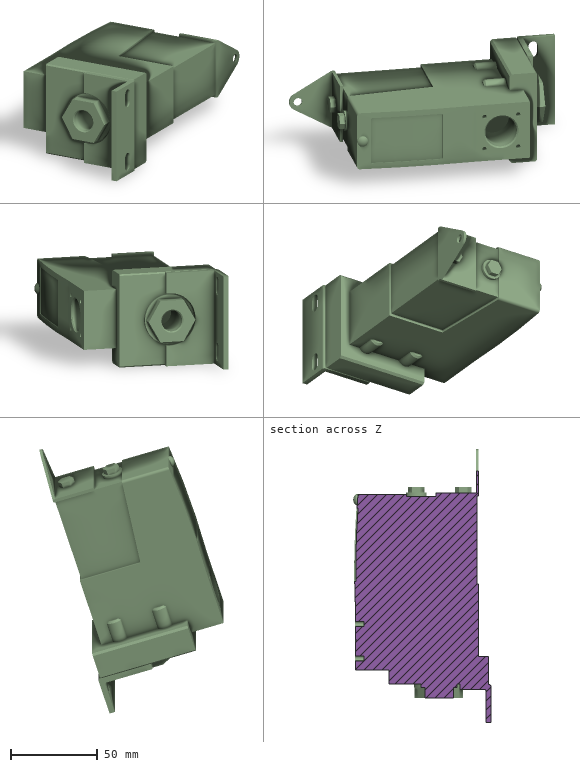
import cadquery as cq
import math


half_height = 17.4
front_left_x = -48.5
flat_end_y = 32.7
crown_y = 56.5
crown_radius = 521.4
crown_bulge = crown_radius - math.sqrt(crown_radius**2 - (crown_y - flat_end_y) ** 2)
crown_x = front_left_x - crown_bulge
right_x = 22.9
panel_right_x = 22.0
panel_half_height = 15.8
panel_front_y = 50.1
panel_front_x = -13.9
panel_rear_x = -18.8
panel_rear_y = 100.8
cover_rear_y = 101.8
cover_fillet = 1.6

window_front_y = 51.5
window_rear_y = 93.7
window_height = 28.0
window_depth = 0.6
window_corner = 0.8

port_y = 16.9
port_radius = 9.3
port_chamfer = 0.8
port_depth = 23.7
port_screw_offset = 10.0
port_screw_radius = 1.3
port_screw_depth = 4.7

screw_y = 98.6
screw_head_radius = 3.2
screw_rim_x = -48.0
screw_tip_x = -49.6
screw_base_x = -45.8

block_left_x = -29.2
block_right_x = 28.6
block_half_depth = 8.0
block_half_height = 27.5
block_rear_chamfer = 1.3
block_front_chamfer = 0.8

stud_xs = (-15.6, 11.7)
stud_z = 15.0
stud_radius = 4.9
stud_length = 13.0
stud_chamfer = 1.1

bracket_left_x = -2.0
bracket_right_x = 30.0
bracket_thickness = 3.2
bracket_front_y = -30.2
bend_outer_radius = 1.3
bend_inner_radius = 0.6
bracket_cutout_radius = 15.5
slot_y = -17.2
slot_z = 19.5
slot_width = 5.5
slot_length = 10.7

washer_radius = 14.5
washer_thickness = 1.9
nut_flats = 24.3
nut_height = 6.2
nut_bore_radius = 6.2
nut_bore_chamfer = 0.6
nut_bore_depth = 23.7

lug_left_x = -2.0
lug_plate_thickness = 1.9
lug_thickness = 1.6
lug_tip_y = 127.8
lug_tip_radius = 5.0
lug_side_angle = math.radians(30)
lug_hole_radius = 2.5
bolt_xs = (-13.1, 14.0)
bolt_flats = 8.2
bolt_head_height = 3.2
rear_washer_radius = 6.0

block_front_y = -block_half_depth
washer_front_y = block_front_y - washer_thickness
nut_front_y = washer_front_y - nut_height
lug_rear_y = panel_rear_y + lug_plate_thickness


def box(x0, x1, y0, y1, half_z):
    """Box between two X and two Y limits, centred on Z = 0."""
    return cq.Workplane("XY").box(x1 - x0, y1 - y0, 2 * half_z).translate(
        ((x0 + x1) / 2, (y0 + y1) / 2, 0)
    )


def plane_facing_rear(x, y, z=0.0):
    """Workplane normal to +Y, local x along -X and local y along +Z."""
    return cq.Workplane(cq.Plane(origin=(x, y, z), xDir=(-1, 0, 0), normal=(0, 1, 0)))


def plane_facing_right(x, y, z=0.0):
    """Workplane normal to +X, local x along +Y and local y along +Z."""
    return cq.Workplane(cq.Plane(origin=(x, y, z), xDir=(0, 1, 0), normal=(1, 0, 0)))


def hex_prism(x, y, flats, height):
    """Hexagonal prism along +Y with two corners pointing along X."""
    corners = flats / math.cos(math.pi / 6)
    return plane_facing_rear(x, y).polygon(6, corners).extrude(height)


def left_face_x(y, inset=0.0):
    """X of the curved left face, or of its parallel inset surface, at a given Y."""
    radius = crown_radius - inset
    return crown_x + crown_radius - math.sqrt(radius**2 - (y - crown_y) ** 2)


def make_housing():
    """Curved-left-face cover joined to the slightly set-in rear panel."""
    cover = (
        cq.Workplane("XY", origin=(0, 0, -half_height))
        .moveTo(front_left_x, 0)
        .lineTo(front_left_x, flat_end_y)
        .threePointArc((crown_x, crown_y), (left_face_x(cover_rear_y), cover_rear_y))
        .lineTo(panel_rear_x, cover_rear_y)
        .lineTo(panel_front_x, panel_front_y)
        .lineTo(right_x, panel_front_y)
        .lineTo(right_x, 0)
        .close()
        .extrude(2 * half_height)
    )
    cover = cover.faces(">Y").edges("#Z").fillet(cover_fillet)
    panel = (
        cq.Workplane("XY", origin=(0, 0, -panel_half_height))
        .moveTo(panel_front_x, panel_front_y)
        .lineTo(panel_right_x, panel_front_y)
        .lineTo(panel_right_x, panel_rear_y)
        .lineTo(panel_rear_x, panel_rear_y)
        .close()
        .extrude(2 * panel_half_height)
    )
    return cover.union(panel)


def make_window():
    """Cutter for a shallow recess whose floor runs parallel to the curved face."""
    middle_y = (window_front_y + window_rear_y) / 2
    return (
        cq.Workplane("XY", origin=(0, 0, -window_height / 2))
        .moveTo(screw_tip_x, window_front_y)
        .lineTo(left_face_x(window_front_y, window_depth), window_front_y)
        .threePointArc(
            (left_face_x(middle_y, window_depth), middle_y),
            (left_face_x(window_rear_y, window_depth), window_rear_y),
        )
        .lineTo(screw_tip_x, window_rear_y)
        .close()
        .extrude(window_height)
        .edges("|X")
        .fillet(window_corner)
    )


def make_port():
    """Cutter for a blind chamfered bore with four small screw holes around it."""
    bore = plane_facing_right(front_left_x, port_y).circle(port_radius).extrude(port_depth)
    mouth = (
        plane_facing_right(front_left_x, port_y)
        .circle(port_radius + port_chamfer)
        .workplane(offset=port_chamfer)
        .circle(port_radius)
        .loft()
    )
    screws = (
        plane_facing_right(front_left_x, port_y)
        .rect(2 * port_screw_offset, 2 * port_screw_offset, forConstruction=True)
        .vertices()
        .circle(port_screw_radius)
        .extrude(port_screw_depth)
    )
    return bore.union(mouth).union(screws)


def make_round_screw():
    """Round head about X: a straight rim with a domed top."""
    dome_height = screw_rim_x - screw_tip_x
    dome_radius = (screw_head_radius**2 + dome_height**2) / (2 * dome_height)
    dome = cq.Workplane("XY").sphere(dome_radius).translate((screw_tip_x + dome_radius, screw_y, 0))
    envelope = (
        plane_facing_right(screw_tip_x, screw_y)
        .circle(screw_head_radius)
        .extrude(screw_base_x - screw_tip_x)
    )
    return envelope.intersect(dome)


def make_block():
    block = box(block_left_x, block_right_x, -block_half_depth, block_half_depth, block_half_height)
    block = block.faces(">Y").edges("|X").chamfer(block_rear_chamfer)
    return block.faces("<Y").edges("|X").chamfer(block_front_chamfer)


def make_stud(x, z):
    stud = plane_facing_rear(x, block_half_depth, z).circle(stud_radius).extrude(stud_length)
    return stud.faces(">Y").chamfer(stud_chamfer)


def make_bracket():
    plate_front_y = block_front_y - bracket_thickness
    flange_left_x = bracket_right_x - bracket_thickness
    bracket = (
        cq.Workplane("XY", origin=(0, 0, -block_half_height))
        .moveTo(bracket_left_x, block_front_y)
        .lineTo(bracket_right_x, block_front_y)
        .lineTo(bracket_right_x, bracket_front_y)
        .lineTo(flange_left_x, bracket_front_y)
        .lineTo(flange_left_x, plate_front_y)
        .lineTo(bracket_left_x, plate_front_y)
        .close()
        .extrude(2 * block_half_height)
    )
    bracket = bracket.edges("|Z and >X and >Y").fillet(bend_outer_radius)
    inner_bend = cq.selectors.NearestToPointSelector((flange_left_x, plate_front_y, 0))
    bracket = bracket.edges("|Z").edges(inner_bend).fillet(bend_inner_radius)
    cutout = plane_facing_rear(0, plate_front_y).circle(bracket_cutout_radius).extrude(bracket_thickness)
    slots = (
        plane_facing_right(flange_left_x, slot_y)
        .pushPoints([(0, slot_z), (0, -slot_z)])
        .slot2D(slot_length, slot_width, 90)
        .extrude(bracket_thickness)
    )
    return bracket.cut(cutout).cut(slots)


def make_nut():
    washer = plane_facing_rear(0, washer_front_y).circle(washer_radius).extrude(washer_thickness)
    return washer.union(hex_prism(0, nut_front_y, nut_flats, nut_height))


def make_nut_bore():
    """Cutter for the blind bore through the nut, chamfered at its mouth."""
    bore = plane_facing_rear(0, nut_front_y).circle(nut_bore_radius).extrude(nut_bore_depth)
    mouth = (
        plane_facing_rear(0, nut_front_y)
        .circle(nut_bore_radius + nut_bore_chamfer)
        .workplane(offset=nut_bore_chamfer)
        .circle(nut_bore_radius)
        .loft()
    )
    return bore.union(mouth)


def make_lug():
    """Rear plate with a tapering ear whose sides run tangent into the round tip."""
    plate = box(lug_left_x, right_x, panel_rear_y, lug_rear_y, half_height)
    tip_centre_y = lug_tip_y - lug_tip_radius
    tangent_y = tip_centre_y + lug_tip_radius * math.sin(lug_side_angle)
    tangent_z = lug_tip_radius * math.cos(lug_side_angle)
    ear = (
        plane_facing_right(right_x - lug_thickness, 0)
        .moveTo(lug_rear_y, -half_height)
        .lineTo(tangent_y, -tangent_z)
        .threePointArc((lug_tip_y, 0), (tangent_y, tangent_z))
        .lineTo(lug_rear_y, half_height)
        .close()
        .extrude(lug_thickness)
    )
    hole = (
        plane_facing_right(right_x - lug_thickness, tip_centre_y)
        .circle(lug_hole_radius)
        .extrude(lug_thickness)
    )
    return plate.union(ear).cut(hole)


def make_rear_bolts():
    """Left bolt sits on a washer, right bolt sits on the lug plate."""
    washer_plane = plane_facing_rear(bolt_xs[0], panel_rear_y)
    bolts = washer_plane.circle(rear_washer_radius).extrude(lug_plate_thickness)
    for x in bolt_xs:
        bolts = bolts.union(hex_prism(x, lug_rear_y, bolt_flats, bolt_head_height))
    return bolts


result = make_housing().cut(make_window()).union(make_block())
for stud_x in stud_xs:
    for side in (-1, 1):
        result = result.union(make_stud(stud_x, side * stud_z))
result = result.union(make_bracket()).union(make_nut())
result = result.union(make_lug()).union(make_rear_bolts()).union(make_round_screw())
result = result.cut(make_port()).cut(make_nut_bore())